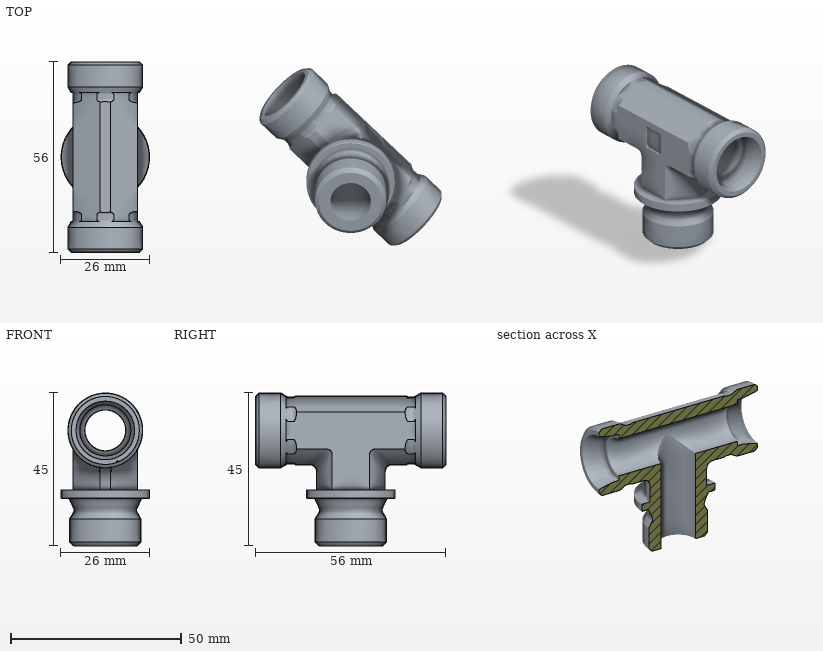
import cadquery as cq
import math

run_half_length = 28.0
end_thread_radius = 22.0 / 2
end_chamfer = 1.0
collar_end = 20.65
collar_base = 19.0
collar_cone_angle = 30.0

relief_radius = 9.85
relief_inner_end = 16.95
relief_fillet = 1.0

across_flats = 19.0
hex_face_angle = 30.0
ridge_half_height = 10.1
junction_fillet = 2.0

branch_bottom = -34.0
flange_radius = 26.0 / 2
flange_top = -17.5
flange_bottom = -20.0
flange_edge_chamfer = 0.2
stud_radius = 20.95 / 2
stud_chamfer = 1.2
stud_top = -26.0
groove_top_radius = 10.65
groove_root_radius = 9.0
groove_root_z = -23.55
groove_fillet = 1.2

bore_radius = 12.0 / 2
socket_radius = 15.0 / 2
socket_mouth_radius = 17.2 / 2
socket_depth = 7.0
socket_cone_angle = 12.0

recess_size = 7.0
recess_corner_radius = 1.0
recess_depth = 0.8

cone_slope = math.tan(math.radians(collar_cone_angle))
collar_base_radius = end_thread_radius - (collar_end - collar_base) * cone_slope


def hex_outline(plane):
    """Hexagon with flats facing +/-X and its two remaining corners trimmed flat."""
    half_flats = across_flats / 2
    face_slope = math.tan(math.radians(hex_face_angle))
    side_corner = half_flats * face_slope
    ridge_half_width = (2 * side_corner - ridge_half_height) / face_slope
    return cq.Workplane(plane).polyline([
        (half_flats, side_corner),
        (ridge_half_width, ridge_half_height),
        (-ridge_half_width, ridge_half_height),
        (-half_flats, side_corner),
        (-half_flats, -side_corner),
        (-ridge_half_width, -ridge_half_height),
        (ridge_half_width, -ridge_half_height),
        (half_flats, -side_corner),
    ]).close()


def hex_body():
    """Hexagonal run and branch with the inside corners of the tee rounded."""
    run = hex_outline("XZ").extrude(collar_base, both=True)
    branch = hex_outline("XY").extrude(flange_top)
    body = run.union(branch)

    def on_tee_corner(edge):
        tolerance = 1e-4
        ends = [edge.startPoint(), edge.endPoint()]
        return all(abs(abs(p.y) + p.z) < tolerance for p in ends)

    corner_edges = [edge for edge in body.edges().vals() if on_tee_corner(edge)]
    return body.newObject(corner_edges).fillet(junction_fillet)


def mirrored_ends(solid):
    """The given +Y end feature together with its copy at the -Y end."""
    return solid.union(solid.mirror("XZ"))


def relief_cutter():
    """Ring removed from the body corners beside the +Y collar."""
    outside = end_thread_radius + relief_fillet
    floor_outer_end = collar_base - (collar_base_radius - relief_radius) / cone_slope
    turn = math.radians(collar_cone_angle)
    tangent = relief_fillet * math.tan(turn / 2)
    floor_tangent = floor_outer_end - tangent
    fillet_end = (
        relief_radius + relief_fillet * (1 - math.cos(turn)),
        floor_tangent + relief_fillet * math.sin(turn),
    )
    fillet_middle = (
        relief_radius + relief_fillet * (1 - math.cos(turn / 2)),
        floor_tangent + relief_fillet * math.sin(turn / 2),
    )
    diagonal = relief_fillet * math.sqrt(0.5)
    return (
        cq.Workplane("XY")
        .moveTo(outside, collar_base)
        .lineTo(collar_base_radius, collar_base)
        .lineTo(*fillet_end)
        .threePointArc(fillet_middle, (relief_radius, floor_tangent))
        .lineTo(relief_radius, relief_inner_end)
        .threePointArc(
            (relief_radius + relief_fillet - diagonal, relief_inner_end - diagonal),
            (relief_radius + relief_fillet, relief_inner_end - relief_fillet),
        )
        .lineTo(outside, relief_inner_end - relief_fillet)
        .close()
        .revolve(360, (0, 0, 0), (0, 1, 0))
    )


def end_collar():
    """Threaded end at +Y: chamfered cylinder with a conical shoulder behind it."""
    return (
        cq.Workplane("XY")
        .polyline([
            (0, collar_base),
            (collar_base_radius, collar_base),
            (end_thread_radius, collar_end),
            (end_thread_radius, run_half_length - end_chamfer),
            (end_thread_radius - end_chamfer, run_half_length),
            (0, run_half_length),
        ])
        .close()
        .revolve(360, (0, 0, 0), (0, 1, 0))
    )


def branch_stud():
    """Flange, waisted groove and threaded stud at the foot of the branch."""
    stud = (
        cq.Workplane("XZ")
        .polyline([
            (0, flange_top),
            (flange_radius, flange_top),
            (flange_radius, flange_bottom + flange_edge_chamfer),
            (flange_radius - flange_edge_chamfer, flange_bottom),
            (groove_top_radius, flange_bottom),
            (groove_root_radius, groove_root_z),
            (stud_radius, stud_top),
            (stud_radius, branch_bottom + stud_chamfer),
            (stud_radius - stud_chamfer, branch_bottom),
            (0, branch_bottom),
        ])
        .close()
        .revolve(360, (0, 0, 0), (0, 1, 0))
    )
    root = cq.selectors.RadiusNthSelector(0)
    return stud.edges("%CIRCLE").edges(root).fillet(groove_fillet)


def end_socket():
    """Stepped tube socket cut into the +Y end: tapered mouth, then a short cylinder."""
    taper_length = (socket_mouth_radius - socket_radius) / math.tan(math.radians(socket_cone_angle))
    return (
        cq.Workplane("XY")
        .polyline([
            (0, run_half_length),
            (socket_mouth_radius, run_half_length),
            (socket_radius, run_half_length - taper_length),
            (socket_radius, run_half_length - socket_depth),
            (0, run_half_length - socket_depth),
        ])
        .close()
        .revolve(360, (0, 0, 0), (0, 1, 0))
    )


def bores():
    """Through bore along the run, meeting the bore of the branch."""
    run_bore = cq.Workplane("XZ").circle(bore_radius).extrude(run_half_length, both=True)
    branch_bore = cq.Workplane("XY").circle(bore_radius).extrude(branch_bottom)
    return run_bore.union(branch_bore)


def side_recess():
    """Shallow square recess with rounded corners in the -X flat."""
    return (
        cq.Workplane("YZ", origin=(-across_flats / 2, 0, 0))
        .rect(recess_size, recess_size)
        .extrude(recess_depth)
        .edges("|X")
        .fillet(recess_corner_radius)
    )


result = (
    hex_body()
    .cut(mirrored_ends(relief_cutter()))
    .union(mirrored_ends(end_collar()))
    .union(branch_stud())
    .cut(mirrored_ends(end_socket()))
    .cut(bores())
    .cut(side_recess())
)